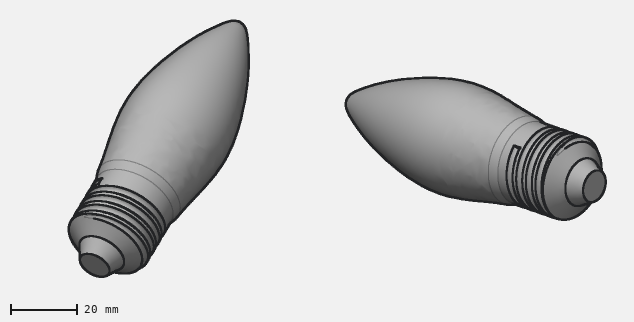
import cadquery as cq

total_length = 102.27

contact_radius = 5.0
contact_rim_radius = 7.5
contact_height = 5.0

cap_radius = 13.05
cap_bottom = 9.1
cap_top = 27.9
neck_radius = 13.95
neck_top = 31.0

bulb_radius = 17.48
bulb_widest = 55.4
bulb_lower_flank = (15.85, 42.6)
bulb_upper_flank = (14.9, 73.3)
bulb_shoulder = (10.85, 85.6)
bulb_nose = (4.9, 97.9)
neck_tangent = (0.12, 1.0)
tip_tangent = (-1.0, 0.0)

thread_pitch = 4.0
thread_turns = 4
groove_radius = 1.25
groove_start = 7.46
groove_end_angle = 225


def lamp_body():
    """Revolve the half outline of the contact, cap and bulb about the Y axis."""
    outline = (
        cq.Workplane("XY")
        .polyline([
            (0, 0),
            (contact_radius, 0),
            (contact_rim_radius, contact_height),
            (cap_radius, cap_bottom),
            (cap_radius, cap_top),
            (neck_radius, neck_top),
        ])
        .spline(
            [
                bulb_lower_flank,
                (bulb_radius, bulb_widest),
                bulb_upper_flank,
                bulb_shoulder,
                bulb_nose,
                (0, total_length),
            ],
            tangents=[neck_tangent, tip_tangent],
            includeCurrent=True,
        )
        .close()
    )
    return outline.revolve(360, (0, 0, 0), (0, 1, 0))


def thread_groove():
    """Sweep a circle up the helix on the cap surface, then lay the helix axis along Y."""
    helix = cq.Wire.makeHelix(thread_pitch, thread_pitch * thread_turns, cap_radius)
    section_plane = cq.Plane(origin=(cap_radius, 0, 0), xDir=(-1, 0, 0), normal=(0, -1, 0))
    groove = (
        cq.Workplane(section_plane)
        .circle(groove_radius)
        .sweep(cq.Workplane(obj=helix), isFrenet=True)
    )
    return (
        groove
        .rotate((0, 0, 0), (0, 0, 1), groove_end_angle)
        .translate((0, 0, groove_start))
        .rotate((0, 0, 0), (1, 0, 0), -90)
    )


result = lamp_body().cut(thread_groove())